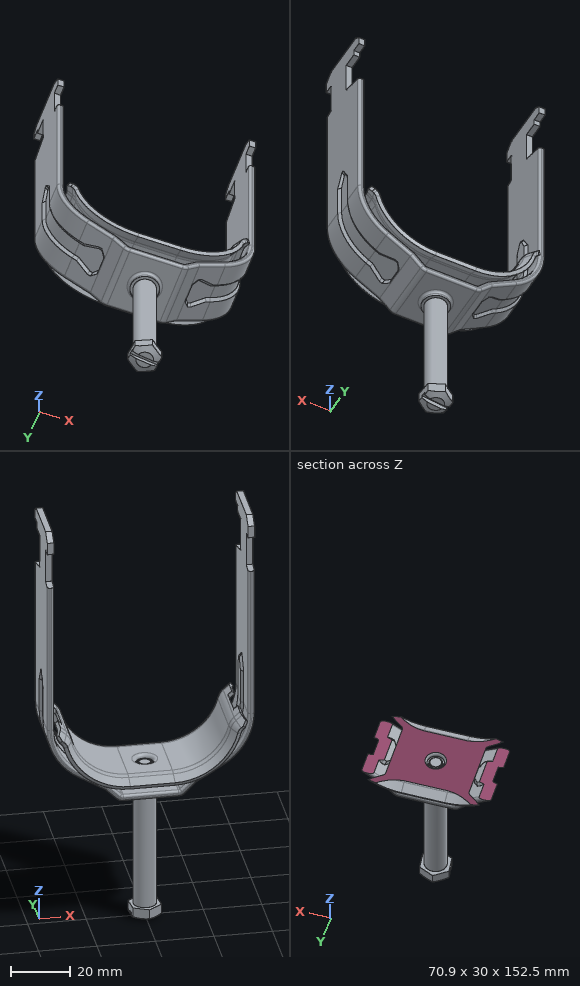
import cadquery as cq
import math


STRAP_SPAN = 70.9
STRAP_WIDTH = 23.5
STRAP_THICKNESS = 2.3
EDGE_ROUNDING = 0.9
ARM_TOP = 103.0
ARM_BEND_RADIUS = 22.1
ARM_BEND_HEIGHT = 29.3
SHOULDER_ANGLE = 31.0
RAMP_ANGLE = 45.0
PAD_HALF_LENGTH = 9.5
PAD_BEND_RADIUS = 3.0

SHOULDER_TOP = 84.0
BACK_SHOULDER_DROP = 2.6
FRONT_SHOULDER_DROP = 0.9
NECK_BACK = 2.6
NECK_FRONT = 8.4
HEAD_BOTTOM = 95.9
HEAD_STEP_TOP = 98.0
HEAD_STEP_DEPTH = 3.7
BACK_CHAMFER_WIDTH = 2.5
BACK_CHAMFER_HEIGHT = 1.8
FRONT_CHAMFER_WIDTH = 3.4
FRONT_CHAMFER_HEIGHT = 2.7

RIB_WIDTH = 7.0
RIB_DEPTH = 0.9
RIB_FLANK = 1.0
RIB_POINT_HEIGHT = 46.4
RIB_POINT_LENGTH = 5.2
RIB_TIP_WIDTH = 0.9
RIB_TAIL_WIDTH = 11.3
RIB_TAIL_START = 1.8
RIB_TAIL_CORNER = 2.0
RIB_TAIL_SIDE = 1.2
RIB_FOOT_INSET = 0.3
RIB_FOOT_GAP = 0.3

COLLAR_DIAMETER = 10.0
COLLAR_LENGTH = 1.8
COLLAR_FILLET = 0.9

SADDLE_WIDTH = 30.0
SADDLE_THICKNESS = 1.5
SADDLE_LENGTH = 65.3
SADDLE_TOP = 9.5
SADDLE_FLAT_HALF = 7.6
SADDLE_RADIUS = 19.8
SADDLE_SWEEP = 76.0
FLANGE_ANGLE = 29.0
FLANGE_REACH = 3.2
FLANGE_BEND_RADIUS = 3.8
LIP_RADIUS = 6.1
LIP_TURN = 34.0
LIP_LENGTH = 2.7
LIP_CORNER_CHAMFER = 1.7
LIP_NOTCH_WIDTH = 10.7
LIP_NOTCH_START = 29.5
SADDLE_HOLE_DIAMETER = 6.0
SADDLE_HOLE_ROUNDING = 1.4

SHANK_DIAMETER = 8.0
SHANK_TOP = 3.8
STEP_DIAMETER = 6.7
STEP_TOP = 5.2
TIP_DIAMETER = 4.5
TIP_FLAT_DIAMETER = 4.0
TIP_TOP = 8.4
SCREW_BOTTOM = ARM_TOP - 152.5
HEAD_SIDES = 6
HEAD_HEIGHT = 4.5
HEAD_ACROSS_FLATS = 10.0
HEAD_TURN = 6.0
HEAD_FACE_DIAMETER = 6.0
HEAD_CONE_ANGLE = 22.0
SLOT_WIDTH = 1.7
SLOT_DEPTH = 1.8

HALF_SPAN = STRAP_SPAN / 2
HALF_STRAP = STRAP_WIDTH / 2
HALF_SADDLE = SADDLE_WIDTH / 2
ARM_BEND_X = HALF_SPAN - ARM_BEND_RADIUS
HEAD_TOP = SCREW_BOTTOM + HEAD_HEIGHT
ARM_SWEEP = 90.0 - SHOULDER_ANGLE


def on_arc(center_x, center_z, radius, slope):
    """Point of an upward-opening arc where the tangent has the given slope angle."""
    angle = math.radians(slope)
    return (center_x + radius * math.sin(angle), center_z - radius * math.cos(angle))


def crossing(p, slope_p, q, slope_q):
    """Crossing point of two lines given by a point and a slope angle each."""
    rise_p = math.tan(math.radians(slope_p))
    rise_q = math.tan(math.radians(slope_q))
    x = (q[1] - p[1] + rise_p * p[0] - rise_q * q[0]) / (rise_p - rise_q)
    return (x, p[1] + rise_p * (x - p[0]))


def leg_points(depth):
    """Corner and arc points of the +X leg, at a depth below the strap's outer face."""
    pad_radius = PAD_BEND_RADIUS - depth
    arm_radius = ARM_BEND_RADIUS - depth
    pad_mid = on_arc(PAD_HALF_LENGTH, PAD_BEND_RADIUS, pad_radius, RAMP_ANGLE / 2)
    pad_end = on_arc(PAD_HALF_LENGTH, PAD_BEND_RADIUS, pad_radius, RAMP_ANGLE)
    arm_start = on_arc(ARM_BEND_X, ARM_BEND_HEIGHT, arm_radius, SHOULDER_ANGLE)
    arm_mid = on_arc(ARM_BEND_X, ARM_BEND_HEIGHT, arm_radius, (SHOULDER_ANGLE + 90) / 2)
    corner = crossing(pad_end, RAMP_ANGLE, arm_start, SHOULDER_ANGLE)
    arm_end = (HALF_SPAN - depth, ARM_BEND_HEIGHT)
    return (PAD_HALF_LENGTH, depth), pad_mid, pad_end, corner, arm_start, arm_mid, arm_end


def bent_strip():
    """The plain bent strip: long edges rounded, arms cut to the slopes beside the hook necks."""
    o_pad, o_pad_mid, o_pad_end, o_corner, o_arm, o_arm_mid, o_arm_end = leg_points(0)
    i_pad, i_pad_mid, i_pad_end, i_corner, i_arm, i_arm_mid, i_arm_end = leg_points(STRAP_THICKNESS)
    half = (
        cq.Workplane("XZ")
        .moveTo(0, 0)
        .lineTo(*o_pad)
        .threePointArc(o_pad_mid, o_pad_end)
        .lineTo(*o_corner)
        .lineTo(*o_arm)
        .threePointArc(o_arm_mid, o_arm_end)
        .lineTo(HALF_SPAN, ARM_TOP)
        .lineTo(HALF_SPAN - STRAP_THICKNESS, ARM_TOP)
        .lineTo(*i_arm_end)
        .threePointArc(i_arm_mid, i_arm)
        .lineTo(*i_corner)
        .lineTo(*i_pad_end)
        .threePointArc(i_pad_mid, i_pad)
        .lineTo(0, STRAP_THICKNESS)
        .close()
        .extrude(HALF_STRAP, both=True)
    )
    strip = half.union(half.mirror("YZ")).clean()
    strip = strip.faces("|Y").edges().fillet(EDGE_ROUNDING)
    slopes = (
        cq.Workplane("YZ")
        .polyline([
            (-HALF_STRAP, SHOULDER_TOP - FRONT_SHOULDER_DROP),
            (-NECK_FRONT, SHOULDER_TOP),
            (NECK_BACK, SHOULDER_TOP),
            (HALF_STRAP, SHOULDER_TOP - BACK_SHOULDER_DROP),
            (HALF_STRAP, 0),
            (-HALF_STRAP, 0),
        ])
        .close()
        .extrude(HALF_SPAN, both=True)
    )
    return strip.intersect(slopes)


def hook():
    """Neck and head that stand on the end of the arm."""
    return (
        cq.Workplane("YZ", origin=(HALF_SPAN - STRAP_THICKNESS, 0, 0))
        .polyline([
            (-NECK_FRONT, SHOULDER_TOP),
            (-NECK_FRONT, HEAD_BOTTOM),
            (-HALF_STRAP, HEAD_BOTTOM),
            (-HALF_STRAP, ARM_TOP - FRONT_CHAMFER_HEIGHT),
            (-HALF_STRAP + FRONT_CHAMFER_WIDTH, ARM_TOP),
            (HALF_STRAP - BACK_CHAMFER_WIDTH, ARM_TOP),
            (HALF_STRAP, ARM_TOP - BACK_CHAMFER_HEIGHT),
            (HALF_STRAP, HEAD_STEP_TOP),
            (HALF_STRAP - HEAD_STEP_DEPTH, HEAD_STEP_TOP),
            (HALF_STRAP - HEAD_STEP_DEPTH, HEAD_BOTTOM),
            (NECK_BACK, HEAD_BOTTOM),
            (NECK_BACK, SHOULDER_TOP),
        ])
        .close()
        .extrude(STRAP_THICKNESS)
    )


def mirrored_outline(half):
    """Closed outline from its +Y half, given from bottom to top."""
    return half + [(-y, v) for y, v in reversed(half) if y > 0]


def rib(depth):
    """Rib body whose wide side lies at the given depth below the outer face, narrowing inward."""
    wide = RIB_WIDTH / 2
    narrow = wide - RIB_FLANK
    inner_depth = depth + RIB_DEPTH
    *_, corner, arm_start, _, _ = leg_points(0)
    tail_length = math.dist(corner, arm_start) - RIB_FOOT_GAP

    def plate(plane, outline):
        """Straight stretch of the rib between its wide and narrow outlines."""
        return (
            plane.polyline(outline(wide, 0, 0))
            .close()
            .workplane(offset=RIB_DEPTH)
            .polyline(outline(narrow, RIB_FLANK, RIB_FOOT_INSET))
            .close()
            .loft(ruled=True)
        )

    def pointed(half, tip_inset, _):
        """Outline on the arm, ending in a blunt point."""
        return mirrored_outline([
            (half, 0),
            (half, RIB_POINT_HEIGHT - RIB_POINT_LENGTH - ARM_BEND_HEIGHT),
            (RIB_TIP_WIDTH / 2, RIB_POINT_HEIGHT - tip_inset - ARM_BEND_HEIGHT),
        ])

    def tail(half, _, foot_inset):
        """Outline on the sloping stretch, widening and then closing at the foot."""
        flare = (RIB_TAIL_WIDTH - RIB_WIDTH) / 2
        return mirrored_outline([
            (half, foot_inset - tail_length),
            (half + flare, RIB_TAIL_CORNER - tail_length),
            (half + flare, RIB_TAIL_CORNER + RIB_TAIL_SIDE - tail_length),
            (half, -RIB_TAIL_START),
            (half, 0),
        ])

    start = on_arc(ARM_BEND_X, ARM_BEND_HEIGHT, ARM_BEND_RADIUS - depth, SHOULDER_ANGLE)
    slope = math.radians(SHOULDER_ANGLE)
    arm_plane = cq.Plane((HALF_SPAN - depth, 0, ARM_BEND_HEIGHT), xDir=(0, -1, 0), normal=(-1, 0, 0))
    tail_plane = cq.Plane((start[0], 0, start[1]), xDir=(0, -1, 0),
                          normal=(-math.sin(slope), 0, math.cos(slope)))
    bend = (
        cq.Workplane(cq.Plane((ARM_BEND_X, 0, ARM_BEND_HEIGHT), xDir=(1, 0, 0), normal=(0, 0, 1)))
        .polyline([
            (ARM_BEND_RADIUS - depth, -wide),
            (ARM_BEND_RADIUS - depth, wide),
            (ARM_BEND_RADIUS - inner_depth, narrow),
            (ARM_BEND_RADIUS - inner_depth, -narrow),
        ])
        .close()
        .revolve(ARM_SWEEP, (0, 0), (0, 1))
    )
    arm = plate(cq.Workplane(arm_plane), pointed)
    return arm.union(bend).union(plate(cq.Workplane(tail_plane), tail))


def make_strap():
    """Bent strap with hooked arms, pressed ribs and a threaded collar."""
    strap = bent_strip()
    for left_side in (False, True):
        groove, ridge, arm_hook = rib(0), rib(STRAP_THICKNESS), hook()
        if left_side:
            groove, ridge, arm_hook = [body.mirror("YZ") for body in (groove, ridge, arm_hook)]
        strap = strap.cut(groove).union(ridge).union(arm_hook)
    collar_radius = COLLAR_DIAMETER / 2
    collar = (
        cq.Workplane("XZ")
        .moveTo(0, 0)
        .lineTo(collar_radius + COLLAR_FILLET, 0)
        .radiusArc((collar_radius, -COLLAR_FILLET), -COLLAR_FILLET)
        .lineTo(collar_radius, -COLLAR_LENGTH)
        .lineTo(0, -COLLAR_LENGTH)
        .close()
        .revolve(360, (0, 0), (0, 1))
    )
    thread_hole = (
        cq.Workplane("XY", origin=(0, 0, -COLLAR_LENGTH))
        .circle(SHANK_DIAMETER / 2)
        .extrude(COLLAR_LENGTH + STRAP_THICKNESS)
    )
    return strap.union(collar).cut(thread_hole)


def saddle_section(plane):
    """Cross-section of the saddle: a flat floor with a flange bent down along each side."""
    tilt = math.radians(FLANGE_ANGLE)
    flange_end = HALF_SADDLE
    bend_end = flange_end - FLANGE_REACH
    bend_y = bend_end - FLANGE_BEND_RADIUS * math.sin(tilt)

    def bend_point(radius, part):
        return (bend_y + radius * math.sin(tilt * part),
                -FLANGE_BEND_RADIUS + radius * math.cos(tilt * part))

    def flip(point):
        return (-point[0], point[1])

    lower_radius = FLANGE_BEND_RADIUS - SADDLE_THICKNESS
    upper_mid = bend_point(FLANGE_BEND_RADIUS, 0.5)
    upper_end = bend_point(FLANGE_BEND_RADIUS, 1)
    lower_mid = bend_point(lower_radius, 0.5)
    lower_end = bend_point(lower_radius, 1)
    rim_top = (flange_end, upper_end[1] - FLANGE_REACH * math.tan(tilt))
    rim_bottom = (rim_top[0] - SADDLE_THICKNESS * math.sin(tilt),
                  rim_top[1] - SADDLE_THICKNESS * math.cos(tilt))
    return (
        cq.Workplane(plane)
        .moveTo(-bend_y, 0)
        .lineTo(bend_y, 0)
        .threePointArc(upper_mid, upper_end)
        .lineTo(*rim_top)
        .lineTo(*rim_bottom)
        .lineTo(*lower_end)
        .threePointArc(lower_mid, (bend_y, -SADDLE_THICKNESS))
        .lineTo(-bend_y, -SADDLE_THICKNESS)
        .threePointArc(flip(lower_mid), flip(lower_end))
        .lineTo(*flip(rim_bottom))
        .lineTo(*flip(rim_top))
        .lineTo(*flip(upper_end))
        .threePointArc(flip(upper_mid), (-bend_y, 0))
        .close()
    )


def section_plane(x, z, slope):
    """Plane across the saddle where its floor climbs toward +X at the given slope angle."""
    angle = math.radians(slope)
    return cq.Plane((x, 0, z), xDir=(0, 1, 0), normal=(math.cos(angle), 0, math.sin(angle)))


def make_saddle():
    """Trough that carries the clamped cable, with flanged sides and outward-rolled lips."""
    lip_slope = SADDLE_SWEEP - LIP_TURN
    arc_z = SADDLE_TOP + SADDLE_RADIUS
    arc_end = on_arc(SADDLE_FLAT_HALF, arc_z, SADDLE_RADIUS, SADDLE_SWEEP)
    lip_center = on_arc(SADDLE_FLAT_HALF, arc_z, SADDLE_RADIUS + LIP_RADIUS, SADDLE_SWEEP)
    lip_end = on_arc(*lip_center, -LIP_RADIUS, lip_slope)

    floor = saddle_section(section_plane(0, SADDLE_TOP, 0)).extrude(SADDLE_FLAT_HALF)
    wall = saddle_section(section_plane(SADDLE_FLAT_HALF, SADDLE_TOP, 0)).revolve(
        SADDLE_SWEEP, (1.5, SADDLE_RADIUS), (-1.5, SADDLE_RADIUS))
    lip_bend = saddle_section(section_plane(*arc_end, SADDLE_SWEEP)).revolve(
        LIP_TURN, (-1.5, -LIP_RADIUS), (1.5, -LIP_RADIUS))
    lip = saddle_section(section_plane(*lip_end, lip_slope)).extrude(LIP_LENGTH)
    half = floor.union(wall).union(lip_bend).union(lip)
    saddle = half.union(half.mirror("YZ")).clean()
    hole = cq.Workplane("XY").circle(SADDLE_HOLE_DIAMETER / 2).extrude(SADDLE_TOP)
    saddle = saddle.intersect(saddle_plan()).cut(hole)
    return saddle.edges(hole_rim()).fillet(SADDLE_HOLE_ROUNDING)


def hole_rim():
    """Selects the upper rim of the saddle's hole."""
    reach = SADDLE_HOLE_DIAMETER
    return cq.selectors.BoxSelector(
        (-reach, -reach, SADDLE_TOP - SADDLE_THICKNESS / 2), (reach, reach, SADDLE_TOP + SADDLE_THICKNESS))


def saddle_plan():
    """Plan outline of the saddle: chamfered corners, and a notch at each end that clears the rib."""
    plan = (
        cq.Workplane("XY")
        .rect(SADDLE_LENGTH, SADDLE_WIDTH)
        .extrude(ARM_TOP)
        .edges("|Z")
        .chamfer(LIP_CORNER_CHAMFER)
    )
    notch_depth = SADDLE_LENGTH / 2 - LIP_NOTCH_START
    notches = (
        cq.Workplane("XY")
        .pushPoints([(side * (LIP_NOTCH_START + notch_depth / 2), 0) for side in (-1, 1)])
        .rect(notch_depth, LIP_NOTCH_WIDTH)
        .extrude(ARM_TOP)
    )
    return plan.cut(notches)


def make_screw():
    """Screw with a stepped tip and a hexagon head that carries a slot."""
    shank_radius = SHANK_DIAMETER / 2
    step_radius = STEP_DIAMETER / 2
    tip_radius = TIP_DIAMETER / 2
    step_rounding = step_radius - tip_radius
    tip_chamfer = (TIP_DIAMETER - TIP_FLAT_DIAMETER) / 2
    shank = (
        cq.Workplane("XZ")
        .moveTo(0, HEAD_TOP)
        .lineTo(shank_radius, HEAD_TOP)
        .lineTo(shank_radius, SHANK_TOP)
        .lineTo(step_radius, SHANK_TOP)
        .lineTo(step_radius, STEP_TOP - step_rounding)
        .radiusArc((tip_radius, STEP_TOP), -step_rounding)
        .lineTo(tip_radius, TIP_TOP - tip_chamfer)
        .lineTo(tip_radius - tip_chamfer, TIP_TOP)
        .lineTo(0, TIP_TOP)
        .close()
        .revolve(360, (0, 0), (0, 1))
    )
    return shank.union(screw_head())


def screw_head():
    """Hexagon head with a coned, slotted end face."""
    corner_diameter = HEAD_ACROSS_FLATS / math.cos(math.pi / HEAD_SIDES)
    head = (
        cq.Workplane("XY", origin=(0, 0, SCREW_BOTTOM))
        .polygon(HEAD_SIDES, corner_diameter)
        .extrude(HEAD_HEIGHT)
    )
    face_radius = HEAD_FACE_DIAMETER / 2
    cone_radius = corner_diameter
    cone_rise = (cone_radius - face_radius) * math.tan(math.radians(HEAD_CONE_ANGLE))
    coned = (
        cq.Workplane("XZ")
        .polyline([
            (0, SCREW_BOTTOM),
            (face_radius, SCREW_BOTTOM),
            (cone_radius, SCREW_BOTTOM + cone_rise),
            (cone_radius, HEAD_TOP + cone_rise),
            (0, HEAD_TOP + cone_rise),
        ])
        .close()
        .revolve(360, (0, 0), (0, 1))
    )
    slot = (
        cq.Workplane("XY", origin=(0, 0, SCREW_BOTTOM))
        .rect(corner_diameter, SLOT_WIDTH)
        .extrude(SLOT_DEPTH)
    )
    head = head.rotate((0, 0, 0), (0, 0, 1), 180 / HEAD_SIDES).intersect(coned).cut(slot)
    return head.rotate((0, 0, 0), (0, 0, 1), HEAD_TURN)


strap = make_strap()
saddle = make_saddle()
screw = make_screw()

result = cq.Compound.makeCompound([strap.val(), saddle.val(), screw.val()])